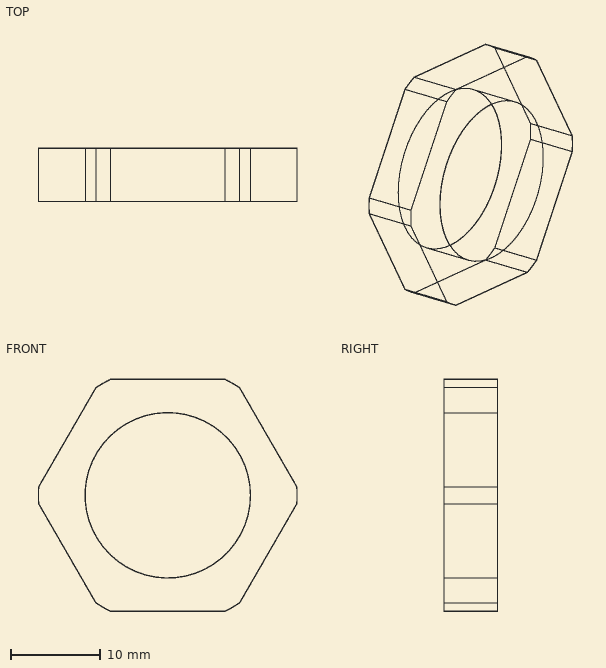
import cadquery as cq
import math

corner_diameter = 29.0
across_flats = 26.0
thickness = 6.0
bore_diameter = 18.5

sharp_diameter = across_flats / math.cos(math.pi / 6)
hexagon = cq.Workplane("XZ").polygon(6, sharp_diameter).extrude(thickness / 2, both=True)

corner_envelope = cq.Workplane("XZ").circle(corner_diameter / 2).extrude(thickness / 2, both=True)

bore = cq.Workplane("XZ").circle(bore_diameter / 2).extrude(thickness / 2, both=True)

result = hexagon.intersect(corner_envelope).cut(bore)